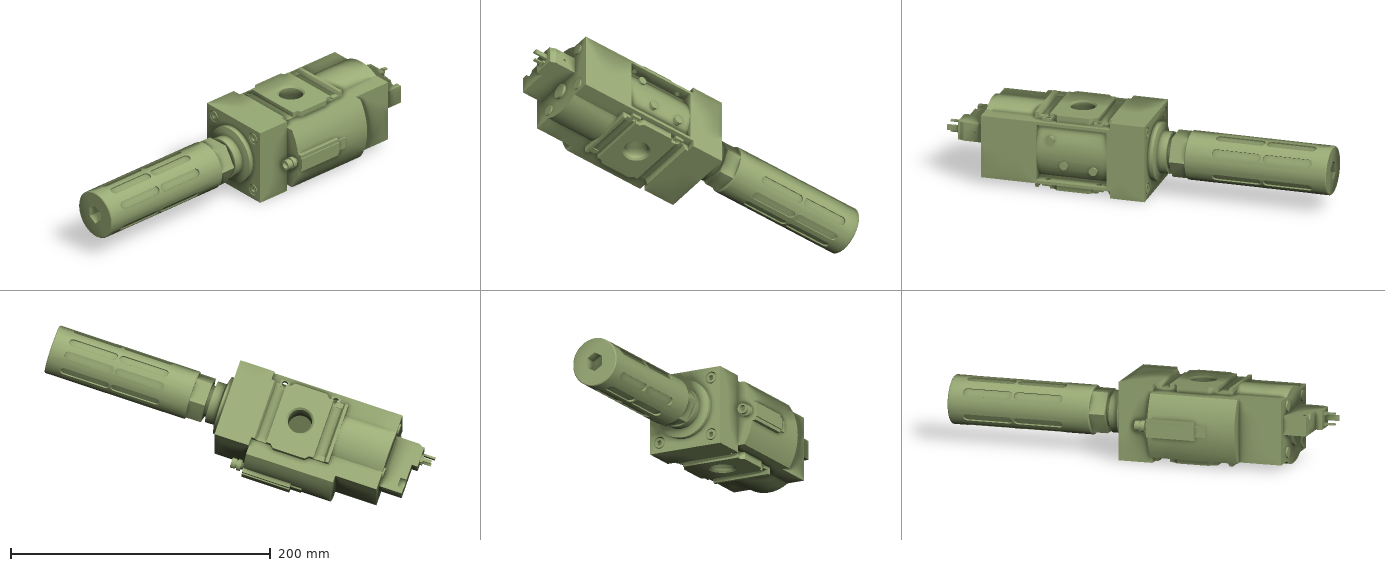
import cadquery as cq
import math


upright_turn = 30.0

width = 62.0
half = width / 2
end_face = -59.0
block_back = -31.3
head_back = 72.8
flat_z = 25.4
bulge_radius = 30.3
bulge_front = -block_back

face_z = 27.1
face_half_x = 24.2
rail_top = 2.5
rail_foot = 4.3
rail_end_x = 20.2
tab_y = 21.7
tab_z = 28.1
plate_half_y = 19.2
plate_wide_x = 27.0
plate_wide_y = 12.9
plate_bevel = 2.7
port_diameter = 18.63
port_mouth = 21.5
port_depth = 20.0
port_chamfer = (port_mouth - port_diameter) / 2

clip_x = -27.6
clip_length = 5.5
clip_width = 7.5
clip_y = 20.7
clip_z = 28.0
clip_bore = 4.6

recess_half_y = 28.5
recess_half_z = 23.0
recess_floor_x = -21.9
barrel_radius = bulge_radius
peg_diameter = 6.5
peg_end_x = -half
pegs = [(17.4, 10.8), (6.4, -8.8), (-17.2, -10.9)]

screw_pitch = 45.6
screw_bore = 9.5
screw_head = 8.0
screw_gap_depth = 5.0
screw_hex = 4.0
screw_hex_depth = 3.0
flange_diameter = 46.0
flange_land = 3.9
flange_face = -64.6

rear_screw_diameter = 8.5
rear_screw_height = 1.2
rear_screw_xs = [-21.3, 15.4]
rear_screw_z = 18.4
cap_diameter = 12.0
cap_height = 2.3
cap_z = -10.2

plug_left = -17.0
plug_right = 24.8
plug_step_x = 0.6
plug_low_y = 91.2
plug_top_y = 95.9
plug_bevel = 1.5
plug_bevel_y = 94.6
plug_z = 5.05
plug_height = 15.1
notch_x = 16.8
notch_diameter = 7.0
notch_length = 4.8
dimple_diameter = 2.5
dimple_depth = 1.0
dimple_y = 82.4
pin_tip = 106.1
ground_pin = (1.6, 4.3)
ground_pin_x = -11.2
blade = (2.6, 1.3)
blade_tip = 104.4
blade_x = -6.9
blade_spread = 8.4
blade_foot = (5.4, 2.0)
blade_foot_height = 1.9

sensor_back = 39.3
sensor_flat_x = 36.6
sensor_crown_x = 44.3
panel_back = 7.5
panel_x = 47.0
panel_half_z = 7.2
panel_crown_x = 48.01
panel_crown_half_z = 4.5
pad_x = 45.3
pad_back = 16.3
socket_x = 40.7
socket_bore = 5.5
socket_bore_depth = 4.0
socket_steps = [(5.5, 2.5), (9.0, 3.0), (6.5, 1.2), (8.0, 3.8)]

silencer_end = -201.4
tube_start = -87.1
tube_diameter = 38.4
tube_chamfer = 0.6
hex_start = -74.6
hex_flats = 32.0
hex_turn = 2.3
collar_diameter = 33.0
collar_end = -71.7
neck_diameter = 25.0
slot_length = 39.6
slots_in_line = 2
slot_pitch = 41.0
slot_width = 6.5
slot_depth = 1.6
first_slot_y = -128.7
slot_angles = [31.5, 73.5, 106.5, 148.5, 211.5, 253.5, 286.5, 328.5]
key_flats = 13.0
key_depth = 10.0


def box(x0, x1, y0, y1, z0, z1):
    """Block between two opposite corners."""
    return cq.Workplane("XY").box(x1 - x0, y1 - y0, z1 - z0, centered=False).translate((x0, y0, z0))


def rod(diameter, y0, y1, x=0.0, z=0.0):
    """Round bar along Y from y0 (front) to y1 (back)."""
    return cq.Workplane("XZ", origin=(x, y1, z)).circle(diameter / 2).extrude(y1 - y0)


def hex_bar(flats, y0, y1, turn, x=0.0, z=0.0):
    """Hexagonal bar along Y; a turn of zero puts corners on X."""
    corners = flats / math.cos(math.pi / 6)
    bar = cq.Workplane("XZ").polygon(6, corners).extrude(y1 - y0)
    return bar.rotate((0, 0, 0), (0, 1, 0), -turn).translate((x, y1, z))


def rail(direction):
    """Dovetail rail across X; direction is +1 at the back and -1 at the front."""
    outer = bulge_front * direction
    profile = [
        (outer, flat_z),
        (outer, half),
        (outer - rail_top * direction, half),
        (outer - rail_foot * direction, face_z),
        (outer - rail_foot * direction, flat_z),
    ]
    return cq.Workplane("YZ").polyline(profile).close().extrude(face_half_x, both=True)


def port_plate():
    """Raised plate around the port, wider in its middle stretch."""
    bevel_end = plate_wide_y + plate_bevel
    quarter = [
        (face_half_x, plate_half_y),
        (face_half_x, bevel_end),
        (plate_wide_x, plate_wide_y),
    ]
    right_side = quarter + [(x, -y) for x, y in reversed(quarter)]
    left_side = [(-x, -y) for x, y in right_side]
    outline = cq.Workplane("XY").workplane(offset=flat_z).polyline(right_side + left_side).close()
    return outline.extrude(half - flat_z)


def mounting_face():
    """Everything that stands on the flat top of the body."""
    face = box(-face_half_x, face_half_x, -bulge_front, bulge_front, flat_z, face_z)
    face = face.union(rail(1)).union(rail(-1)).union(port_plate())
    for side in (-1, 1):
        x0, x1 = sorted((side * rail_end_x, side * face_half_x))
        face = face.union(box(x0, x1, tab_y, bulge_front, flat_z, tab_z))
        y0 = side * clip_y - clip_width / 2
        face = face.union(box(clip_x, clip_x + clip_length, y0, y0 + clip_width, flat_z, clip_z))
    return face


def port():
    """Port bore from the top plate with a chamfered mouth."""
    bore = cq.Workplane("XY").workplane(offset=half).circle(port_diameter / 2).extrude(-port_depth)
    mouth = cq.Solid.makeCone(
        port_diameter / 2, port_mouth / 2, port_chamfer, pnt=(0, 0, half - port_chamfer)
    )
    return bore.union(cq.Workplane(mouth))


def side_recess():
    """Recess in the -X side that leaves the barrel and its pegs standing."""
    recess = box(-half, recess_floor_x, -recess_half_y, recess_half_y, -recess_half_z, recess_half_z)
    recess = recess.cut(rod(2 * barrel_radius, -recess_half_y, recess_half_y))
    for y, z in pegs:
        peg = cq.Workplane("YZ", origin=(peg_end_x, y, z)).circle(peg_diameter / 2)
        recess = recess.cut(peg.extrude(recess_floor_x - peg_end_x))
    return recess


def clip_bores(y):
    """Bores through the clips above and below, each breaking into the side recess."""
    bore = cq.Workplane("XY", origin=(clip_x + clip_length / 2, y, recess_half_z))
    bore = bore.circle(clip_bore / 2).extrude(clip_z - recess_half_z)
    return bore.union(bore.mirror("XY"))


def flange():
    """Round flange on the end block, bevelled towards its face."""
    land_y = end_face - flange_land
    profile = [
        (0, end_face),
        (flange_diameter / 2, end_face),
        (flange_diameter / 2, land_y),
        (collar_diameter / 2, flange_face),
        (0, flange_face),
    ]
    return cq.Workplane("XY").polyline(profile).close().revolve(360, (0, 0, 0), (0, 1, 0))


def end_screw_cut(x, z):
    """Ring gap around a recessed screw head, and its hexagon socket."""
    ring = rod(screw_bore, end_face, end_face + screw_gap_depth, x, z)
    ring = ring.cut(rod(screw_head, end_face, end_face + screw_gap_depth, x, z))
    return ring.union(hex_bar(screw_hex, end_face, end_face + screw_hex_depth, upright_turn, x, z))


def connector():
    """Stepped plug on the back of the head with its three contacts."""
    outline = [
        (plug_left, head_back),
        (plug_right, head_back),
        (plug_right, plug_low_y),
        (plug_step_x, plug_low_y),
        (plug_step_x, plug_top_y),
        (plug_left + plug_bevel, plug_top_y),
        (plug_left + plug_bevel, plug_bevel_y),
        (plug_left, plug_low_y),
    ]
    plug_bottom = plug_z - plug_height / 2
    plug_top = plug_z + plug_height / 2
    plug = cq.Workplane("XY").workplane(offset=plug_bottom).polyline(outline).close().extrude(plug_height)
    plug = plug.cut(rod(notch_diameter, plug_low_y - notch_length, plug_low_y, notch_x, plug_top))
    dimple = cq.Workplane("YZ", origin=(plug_left, dimple_y, plug_z)).circle(dimple_diameter / 2)
    plug = plug.cut(dimple.extrude(dimple_depth))

    def contact(size, x, z, tip):
        return box(x - size[0] / 2, x + size[0] / 2, plug_top_y, tip, z - size[1] / 2, z + size[1] / 2)

    plug = plug.union(contact(ground_pin, ground_pin_x, plug_z, pin_tip))
    for side in (-1, 1):
        z = plug_z + side * blade_spread / 2
        plug = plug.union(contact(blade, blade_x, z, blade_tip))
        plug = plug.union(contact(blade_foot, blade_x, z, plug_top_y + blade_foot_height))
    return plug


def rear_fittings():
    """Screw heads and the round cap on the back of the head."""
    fittings = rod(cap_diameter, head_back, head_back + cap_height, z=cap_z)
    for x in rear_screw_xs:
        for z in (-rear_screw_z, rear_screw_z):
            head = rod(rear_screw_diameter, head_back, head_back + rear_screw_height, x, z)
            fittings = fittings.union(head)
    return fittings


def make_housing():
    body = box(-half, half, block_back, head_back, -flat_z, flat_z)
    body = body.union(rod(2 * bulge_radius, bulge_front, head_back))
    body = body.union(box(-half, half, end_face, block_back, -half, half))
    top_face = mounting_face()
    body = body.union(top_face).union(top_face.mirror("XY"))
    body = body.cut(side_recess())
    top_port = port()
    body = body.cut(top_port).cut(top_port.mirror("XY"))
    for y in (-clip_y, clip_y):
        body = body.cut(clip_bores(y))
    body = body.union(flange())
    for x_side in (-1, 1):
        for z_side in (-1, 1):
            body = body.cut(end_screw_cut(x_side * screw_pitch / 2, z_side * screw_pitch / 2))
    body = body.union(rear_fittings())
    return body.union(connector())


def make_sensor():
    """Switch module on the +X side: crowned case, raised panel and cable socket."""
    length = sensor_back - block_back
    case = (
        cq.Workplane("XZ", origin=(0, sensor_back, 0))
        .moveTo(half, -flat_z)
        .lineTo(sensor_flat_x, -flat_z)
        .threePointArc((sensor_crown_x, 0), (sensor_flat_x, flat_z))
        .lineTo(half, flat_z)
        .close()
        .extrude(length)
    )
    case = case.union(box(half, pad_x, block_back, pad_back, -panel_crown_half_z, panel_crown_half_z))
    case = case.union(box(half, panel_x, block_back, panel_back, -panel_half_z, panel_half_z))
    case = case.union(
        box(half, panel_crown_x, block_back, panel_back, -panel_crown_half_z, panel_crown_half_z)
    )
    back = block_back
    for diameter, step in socket_steps:
        case = case.union(rod(diameter, back - step, back, socket_x))
        back -= step
    return case.cut(rod(socket_bore, back, back + socket_bore_depth, socket_x))


def silencer_slot(y, angle):
    """Round-ended shallow slot along the tube, cut from the given direction."""
    slot = cq.Workplane("XY", origin=(0, y, tube_diameter / 2 - slot_depth))
    slot = slot.slot2D(slot_length, slot_width, 90).extrude(2 * slot_depth)
    return slot.rotate((0, 0, 0), (0, 1, 0), 90 - angle)


def make_silencer():
    tube = rod(tube_diameter, silencer_end, tube_start).edges().chamfer(tube_chamfer)
    for angle in slot_angles:
        for index in range(slots_in_line):
            tube = tube.cut(silencer_slot(first_slot_y - index * slot_pitch, angle))
    tube = tube.cut(hex_bar(key_flats, silencer_end, silencer_end + key_depth, upright_turn))
    tube = tube.union(hex_bar(hex_flats, tube_start, hex_start, hex_turn))
    tube = tube.union(rod(neck_diameter, hex_start, collar_end))
    return tube.union(rod(collar_diameter, collar_end, flange_face))


housing = make_housing()
sensor = make_sensor()
silencer = make_silencer()

result = cq.Compound.makeCompound([housing.val(), sensor.val(), silencer.val()])